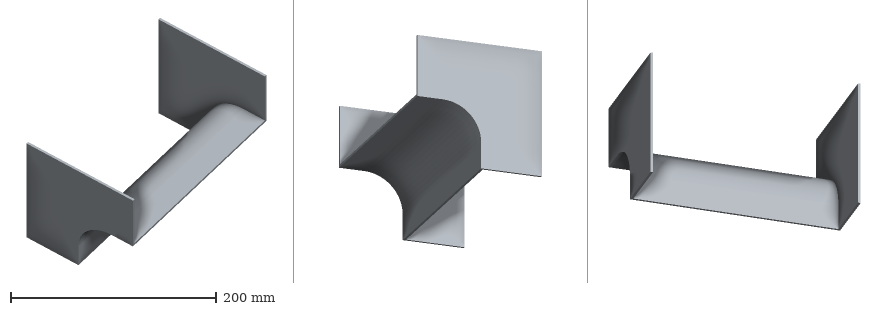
import cadquery as cq

side = 130.0
length = 216.0

thickness = 2.5
web_inset = 60.9
bend_end = 103.5
outer_radius = bend_end - web_inset


def corner_block(inset, radius, depth):
    """Square block filling the lower +X corner, with its inner edge rounded."""
    size = side - inset
    return (
        cq.Workplane("XY")
        .box(size, depth, size, centered=(False, True, False))
        .translate((inset, 0, 0))
        .edges("|Y and <X and >Z")
        .fillet(radius)
    )


flange_offset = (length - thickness) / 2
body = corner_block(web_inset, outer_radius, length - thickness)
for direction in (-1, 1):
    flange = cq.Workplane("XY").box(side, thickness, side, centered=(False, True, False))
    body = body.union(flange.translate((0, direction * flange_offset, 0)))

hollow = corner_block(web_inset + thickness, outer_radius - thickness, length)
result = body.cut(hollow)